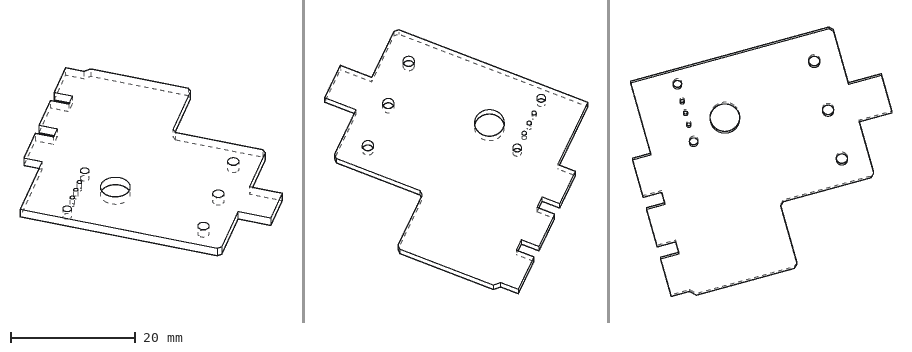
import cadquery as cq

length = 42.15
width = 36.2
thickness = 1.6
corner_chamfer = 0.6

body_left = 3.08
body_right = 36.7
shoulder_height = 25.25
upper_right = 20.85

tab_width = 6.35
left_tab_count = 3
slot_width = 2.02
left_tab_start = 12.2
tab_pitch = tab_width + slot_width
left_tabs_top = left_tab_start + (left_tab_count - 1) * tab_pitch + tab_width
top_bevel_length = 0.9

right_tab_center = 12.77

opening_diameter = 4.75
opening_center = (16.1, 9.65)

mount_diameter = 1.8
mount_x = 32.38
mount_middle_y = 12.85
mount_pitch = 8.25

connector_x = 10.25
connector_y = 7.15
pin_diameter = 0.7
pin_pitch = 2.0
end_hole_diameter = 1.4
end_hole_spacing = 9.75


def box_between(x_min, x_max, y_min, y_max):
    """Plate-thick rectangle between the given limits."""
    return cq.Workplane("XY").box(
        x_max - x_min, y_max - y_min, thickness, centered=False
    ).translate((x_min, y_min, 0))


def make_body():
    """L-shaped plate with chamfered corners and a bevel down to the left tabs."""
    c = corner_chamfer
    outline = [
        (body_left, 0),
        (body_right - c, 0),
        (body_right, c),
        (body_right, shoulder_height - c),
        (body_right - c, shoulder_height),
        (upper_right + c, shoulder_height),
        (upper_right, shoulder_height + c),
        (upper_right, width - c),
        (upper_right - c, width),
        (body_left + top_bevel_length, width),
        (body_left, left_tabs_top),
    ]
    return cq.Workplane("XY").polyline(outline).close().extrude(thickness)


def add_tabs(plate):
    """Join the left row of tabs and the right tab to the plate."""
    for index in range(left_tab_count):
        y_min = left_tab_start + index * tab_pitch
        plate = plate.union(box_between(0, body_left, y_min, y_min + tab_width))
    y_min = right_tab_center - tab_width / 2
    return plate.union(box_between(body_right, length, y_min, y_min + tab_width))


def drill(plate, diameter, centers):
    """Cut through holes of one diameter at the given centers."""
    holes = cq.Workplane("XY").pushPoints(centers).circle(diameter / 2).extrude(thickness)
    return plate.cut(holes)


def column(x, middle_y, offsets):
    """Points on a vertical line, offset from its middle."""
    return [(x, middle_y + offset) for offset in offsets]


mount_holes = column(mount_x, mount_middle_y, (-mount_pitch, 0, mount_pitch))
pin_holes = column(connector_x, connector_y, (-pin_pitch, 0, pin_pitch))
end_holes = column(connector_x, connector_y, (-end_hole_spacing / 2, end_hole_spacing / 2))

result = add_tabs(make_body())
result = drill(result, opening_diameter, [opening_center])
result = drill(result, mount_diameter, mount_holes)
result = drill(result, pin_diameter, pin_holes)
result = drill(result, end_hole_diameter, end_holes)